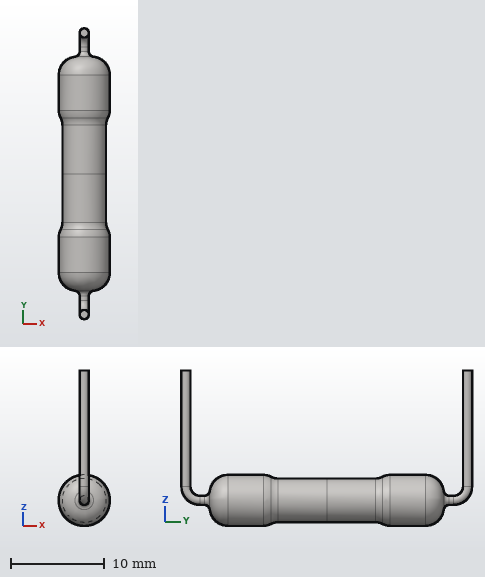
import cadquery as cq
import math

overall_length = 31.0
overall_height = 16.6
cap_radius = 5.5 / 2
neck_radius = 4.68 / 2
lead_radius = 1.0 / 2

body_half_length = 12.5
cap_round_radius = 1.98
cap_inner_end = 6.75
shoulder_middle = 5.95
neck_half_length = 5.18

flare_radius = 0.55
bend_radius = 1.5
lead_axis_y = overall_length / 2 - lead_radius
lead_top = overall_height - cap_radius

round_center_r = cap_radius - cap_round_radius
round_center_y = body_half_length - cap_round_radius
flare_center_r = lead_radius + flare_radius
center_distance = cap_round_radius + flare_radius
flare_start = round_center_y + math.sqrt(center_distance**2 - (flare_center_r - round_center_r) ** 2)
tangent_share = cap_round_radius / center_distance
flare_end_r = round_center_r + tangent_share * (flare_center_r - round_center_r)
flare_end_y = round_center_y + tangent_share * (flare_start - round_center_y)

shoulder_slope = (cap_radius - neck_radius) / (cap_inner_end - neck_half_length)
shoulder_middle_r = neck_radius + shoulder_slope * (shoulder_middle - neck_half_length)


def make_half_body():
    """Revolve the +Y half of the body: neck, shoulder, rounded cap and flare."""
    flare_half_angle = math.atan2(flare_start - flare_end_y, flare_center_r - flare_end_r) / 2
    flare_mid_r = flare_center_r - flare_radius * math.cos(flare_half_angle)
    flare_mid_y = flare_start - flare_radius * math.sin(flare_half_angle)
    round_half_angle = math.atan2(flare_end_y - round_center_y, flare_end_r - round_center_r) / 2
    round_mid_r = round_center_r + cap_round_radius * math.cos(round_half_angle)
    round_mid_y = round_center_y + cap_round_radius * math.sin(round_half_angle)

    return (
        cq.Workplane("XY")
        .lineTo(neck_radius, 0)
        .lineTo(neck_radius, neck_half_length)
        .tangentArcPoint((shoulder_middle_r, shoulder_middle), relative=False)
        .tangentArcPoint((cap_radius, cap_inner_end), relative=False)
        .lineTo(cap_radius, round_center_y)
        .threePointArc((round_mid_r, round_mid_y), (flare_end_r, flare_end_y))
        .threePointArc((flare_mid_r, flare_mid_y), (lead_radius, flare_start))
        .lineTo(0, flare_start)
        .close()
        .revolve(360, (0, 0, 0), (0, 1, 0))
    )


def make_lead():
    """Round wire leaving the +Y end of the body and bending upward."""
    path = (
        cq.Workplane("YZ")
        .moveTo(flare_start, 0)
        .lineTo(lead_axis_y - bend_radius, 0)
        .tangentArcPoint((lead_axis_y, bend_radius), relative=False)
        .lineTo(lead_axis_y, lead_top)
    )
    return cq.Workplane("XZ", origin=(0, flare_start, 0)).circle(lead_radius).sweep(path)


half_part = make_half_body().union(make_lead())
result = half_part.union(half_part.mirror("XZ")).clean()